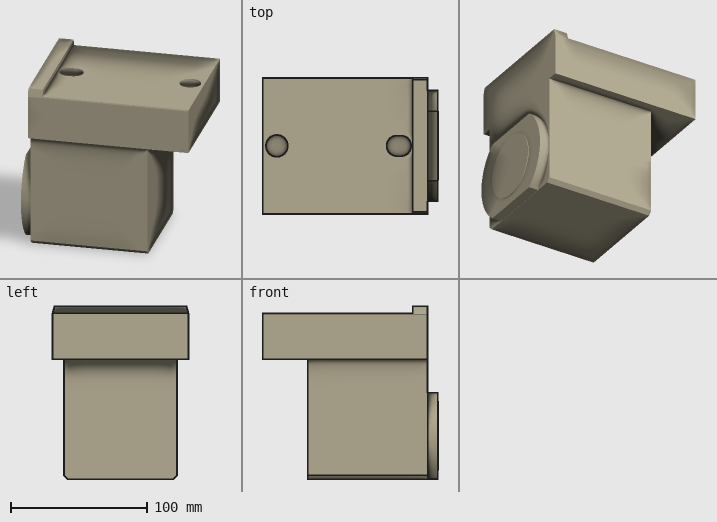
import cadquery as cq
import math

total_height = 127.0

plate_length = 121.0
plate_width = 100.0
plate_thickness = 34.0

lip_length = 11.0
lip_height = 5.0
flank_height = 6.0
flank_angle = 15.0

body_length = 88.0
body_width = 83.0
body_chamfer = 3.0

boss_diameter = 81.5
boss_height = 63.5
boss_thickness = 7.5
boss_center_z = 32.0
pad_diameter = 50.01
pad_thickness = 0.5

recess_depth = 5.5
round_recess_diameter = 16.0
round_recess_x = 10.5
recess_spacing = 89.5
slot_width = 15.0
slot_length = 18.0

plate_top = total_height - lip_height
plate_bottom = plate_top - plate_thickness
flank_bottom = total_height - flank_height
flank_inset = flank_height * math.tan(math.radians(flank_angle))
slot_x = round_recess_x + recess_spacing


def make_plate():
    """Plate and lip: one tapered-top profile, stepped down everywhere but at the lip."""
    half_width = plate_width / 2
    half_top = half_width - flank_inset
    plate = (
        cq.Workplane("YZ")
        .polyline(
            [
                (-half_width, plate_bottom),
                (half_width, plate_bottom),
                (half_width, flank_bottom),
                (half_top, total_height),
                (-half_top, total_height),
                (-half_width, flank_bottom),
            ]
        )
        .close()
        .extrude(plate_length)
    )
    step = (
        cq.Workplane("XY")
        .workplane(offset=plate_top)
        .center((plate_length - lip_length) / 2, 0)
        .rect(plate_length - lip_length, plate_width)
        .extrude(lip_height)
    )
    return plate.cut(step)


def make_body():
    """Block under the plate with its two lower long edges chamfered."""
    half_width = body_width / 2
    half_bottom = half_width - body_chamfer
    return (
        cq.Workplane("YZ")
        .workplane(offset=plate_length - body_length)
        .polyline(
            [
                (-half_bottom, 0),
                (half_bottom, 0),
                (half_width, body_chamfer),
                (half_width, plate_bottom),
                (-half_width, plate_bottom),
                (-half_width, body_chamfer),
            ]
        )
        .close()
        .extrude(body_length)
    )


def make_boss():
    """Flat-sided disc and round pad, projecting in +X."""
    face = cq.Workplane("YZ", origin=(plate_length, 0, boss_center_z))
    disc = face.circle(boss_diameter / 2).extrude(boss_thickness)
    flats = face.rect(boss_diameter, boss_height).extrude(boss_thickness)
    pad = face.circle(pad_diameter / 2).extrude(boss_thickness + pad_thickness)
    return disc.intersect(flats).union(pad)


def make_recesses():
    """Cutters for the round and the elongated recess."""
    top = cq.Workplane("XY").workplane(offset=plate_top)
    round_recess = top.center(round_recess_x, 0).circle(round_recess_diameter / 2).extrude(-recess_depth)
    slot = top.center(slot_x, 0).slot2D(slot_length, slot_width).extrude(-recess_depth)
    return round_recess.union(slot)


result = make_plate().union(make_body()).union(make_boss()).cut(make_recesses())